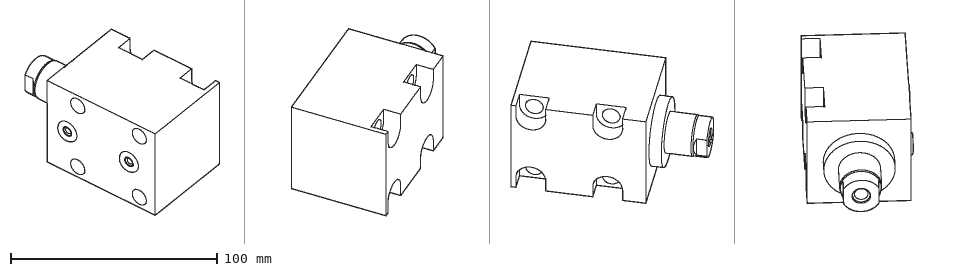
import cadquery as cq
import math

overall_length = 93.6
block_length = 66.7
block_depth = 50.5
block_height = 50.8
block_start = overall_length - block_length
shaft_to_back = 25.2
back_y = shaft_to_back
front_y = back_y - block_depth

collar_diameter = 34.7
collar_length = 6.1
shaft_diameter = 20.5
nose_diameter = 19.9
nose_length = 6.6
nose_taper_length = 0.8
tip_diameter = 19.6
tip_taper_length = 0.8

flat_width = 17.2
flat_length = 5.1

tip_bore_diameter = 6.6
tip_bore_depth = 15.0
tip_bore_mouth_diameter = 9.0
tip_bore_mouth_depth = 0.7
tip_countersink_diameter = 8.4

hole_diameter = 8.7
hole_pitch = 38.0
first_hole_x = 45.8
hole_x_positions = (first_hole_x, first_hole_x + hole_pitch)
seat_width = 14.7
seat_depth = 9.1

first_port_x = 39.5
port_x_positions = (first_port_x, first_port_x + hole_pitch)
seal_outer_diameter = 11.5
seal_section_radius = 1.5
seal_protrusion = 1.4
port_diameter = 3.3
port_radius = port_diameter / 2
port_mouth_radius = 2.2
port_depth = 7.5
drill_tip_angle = 118.0


def revolved_about_x(points):
    """Solid of revolution about X from (x, radius) points."""
    return cq.Workplane("XY").polyline(points).close().revolve(360, (0, 0, 0), (1, 0, 0))


def make_shaft():
    collar_start = block_start - collar_length
    collar_radius = collar_diameter / 2
    shaft_radius = shaft_diameter / 2
    nose_radius = nose_diameter / 2
    shaft = revolved_about_x([
        (0, 0),
        (0, tip_diameter / 2),
        (tip_taper_length, nose_radius),
        (nose_length, nose_radius),
        (nose_length + nose_taper_length, shaft_radius),
        (collar_start, shaft_radius),
        (collar_start, collar_radius),
        (block_start, collar_radius),
        (block_start, 0),
    ])

    bore_radius = tip_bore_diameter / 2
    countersink_radius = tip_countersink_diameter / 2
    countersink_depth = countersink_radius - bore_radius
    shaft = shaft.cut(revolved_about_x([
        (0, 0),
        (0, tip_bore_mouth_diameter / 2),
        (tip_bore_mouth_depth, countersink_radius),
        (tip_bore_mouth_depth + countersink_depth, bore_radius),
        (tip_bore_depth, bore_radius),
        (tip_bore_depth, 0),
    ]))

    half_flat = flat_width / 2
    run_out = shaft_radius - half_flat
    for side in (-1, 1):
        flat_cut = (
            cq.Workplane("XY")
            .polyline([
                (0, side * half_flat),
                (flat_length, side * half_flat),
                (flat_length + run_out, side * shaft_radius),
                (0, side * shaft_radius),
            ])
            .close()
            .extrude(shaft_radius, both=True)
        )
        shaft = shaft.cut(flat_cut)
    return shaft


def make_block():
    return cq.Workplane("XY").box(block_length, block_depth, block_height).translate(
        (block_start + block_length / 2, (front_y + back_y) / 2, 0)
    )


def mounting_cut(x, side):
    """Through hole with a round-ended seat slot open to the top or bottom."""
    z = side * hole_pitch / 2
    edge_distance = (block_height - hole_pitch) / 2
    hole = (
        cq.Workplane("XZ", origin=(x, back_y, z))
        .circle(hole_diameter / 2)
        .extrude(block_depth)
    )
    seat = cq.Workplane("XZ", origin=(x, back_y, z)).circle(seat_width / 2).extrude(seat_depth)
    opening = (
        cq.Workplane("XZ", origin=(x, back_y, z + side * edge_distance / 2))
        .rect(seat_width, edge_distance)
        .extrude(seat_depth)
    )
    return hole.union(seat).union(opening)


def make_seal(x):
    """O-ring partly sunk in the front face."""
    ring_radius = seal_outer_diameter / 2 - seal_section_radius
    center_y = front_y - seal_protrusion + seal_section_radius
    return (
        cq.Workplane("XY", origin=(x, center_y, 0))
        .center(ring_radius, 0)
        .circle(seal_section_radius)
        .revolve(360, (-ring_radius, 0, 0), (-ring_radius, 1, 0))
    )


def port_cut(x):
    """Countersunk blind port with a conical drill end."""
    countersink_depth = port_mouth_radius - port_radius
    tip_depth = port_radius / math.tan(math.radians(drill_tip_angle / 2))
    return (
        cq.Workplane("XY", origin=(x, front_y, 0))
        .polyline([
            (0, 0),
            (port_mouth_radius, 0),
            (port_radius, countersink_depth),
            (port_radius, port_depth),
            (0, port_depth + tip_depth),
        ])
        .close()
        .revolve(360, (0, 0, 0), (0, 1, 0))
    )


result = make_block().union(make_shaft())
for hole_x in hole_x_positions:
    for edge_side in (-1, 1):
        result = result.cut(mounting_cut(hole_x, edge_side))
for port_x in port_x_positions:
    result = result.cut(port_cut(port_x)).union(make_seal(port_x))